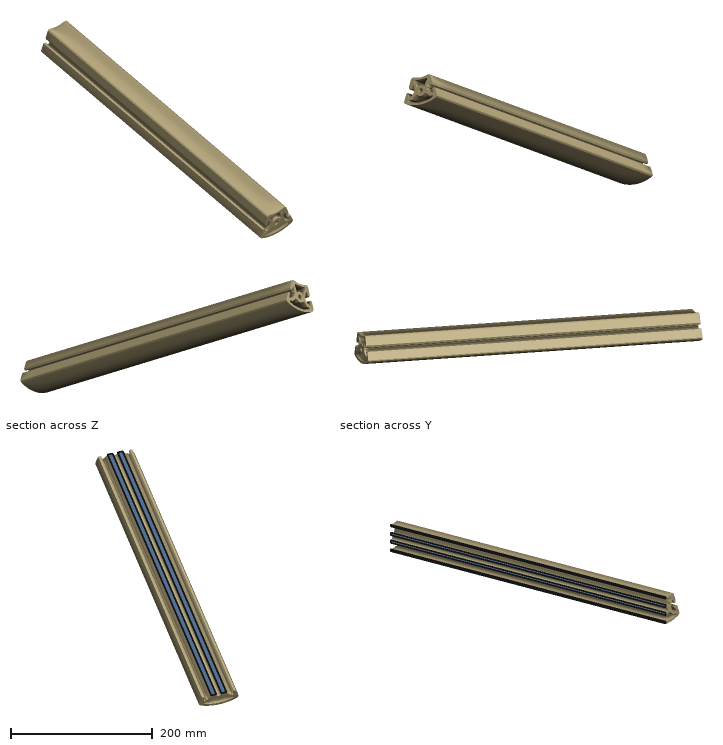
import cadquery as cq
import math

length = 500.0
width = 58.5
height = 42.0
top_z = 21.5
bottom_z = top_z - height
top_dip = 2.0
hub_radius = 8.0
bore_radius = 3.5
top_wall = 3.0
bottom_wall = 3.5
upper_hub_angle = 40.0
lower_hub_angle = -45.0

hollow_edge = (12.5, top_z)
outer_points = [
    (15.0, top_z),
    (17.0, 20.0),
    (21.0, 8.5),
    (20.0, 5.5),
    (17.5, 6.0),
    (16.0, 9.0),
    (14.0, 12.0),
    (12.0, 8.5),
    (11.5, 6.5),
    (11.5, 4.0),
    (10.5, 3.0),
    (11.5, 2.0),
    (11.5, 0.0),
    (16.0, -5.5),
    (18.5, -5.5),
    (20.0, -7.5),
    (22.0, -7.0),
    (22.0, -2.5),
    (20.0, -1.5),
    (22.0, 0.5),
    (25.0, 0.5),
    (width / 2, -11.0),
    (width / 2, -12.5),
    (27.5, -14.5),
]
upper_cavity_top = (11.0, 17.0)
upper_cavity_side = [(11.0, 14.0), (8.5, 10.5), (7.5, 6.0)]
lower_cavity_side = [(9.0, -5.0), (15.5, -10.5), (21.5, -10.5)]
lower_cavity_corner = (21.5, -13.0)


def mirrored(point):
    return (-point[0], point[1])


def hub_point(angle):
    return (
        hub_radius * math.cos(math.radians(angle)),
        hub_radius * math.sin(math.radians(angle)),
    )


def add_lines(sketch, points):
    for point in points:
        sketch = sketch.lineTo(*point)
    return sketch


def section_plane():
    return cq.Workplane("YZ", origin=(-length / 2, 0, 0))


def outer_body():
    sketch = section_plane().moveTo(*hollow_edge)
    sketch = add_lines(sketch, outer_points)
    sketch = sketch.threePointArc((0, bottom_z), mirrored(outer_points[-1]))
    left_side = [mirrored(point) for point in reversed(outer_points[:-1])]
    sketch = add_lines(sketch, left_side + [mirrored(hollow_edge)])
    sketch = sketch.threePointArc((0, top_z - top_dip), hollow_edge)
    return sketch.close().extrude(length)


def cavity(arc_end, arc_middle_z, side, hub_angle):
    """Chamber between two webs, closed by an outer wall arc and the hub.

    The side points run from the outer wall towards the hub.
    """
    hub_end = hub_point(hub_angle)
    hub_middle = (0, math.copysign(hub_radius, hub_angle))
    sketch = section_plane().moveTo(*arc_end)
    sketch = add_lines(sketch, side + [hub_end])
    sketch = sketch.threePointArc(hub_middle, mirrored(hub_end))
    left_side = [mirrored(point) for point in reversed(side)]
    sketch = add_lines(sketch, left_side + [mirrored(arc_end)])
    sketch = sketch.threePointArc((0, arc_middle_z), arc_end)
    return sketch.close().extrude(length)


upper_cavity = cavity(
    upper_cavity_top, top_z - top_dip - top_wall, upper_cavity_side, upper_hub_angle
)
lower_cavity = cavity(
    lower_cavity_corner, bottom_z + bottom_wall, lower_cavity_side[::-1], lower_hub_angle
)
bore = section_plane().circle(bore_radius).extrude(length)

result = outer_body().cut(upper_cavity).cut(lower_cavity).cut(bore)